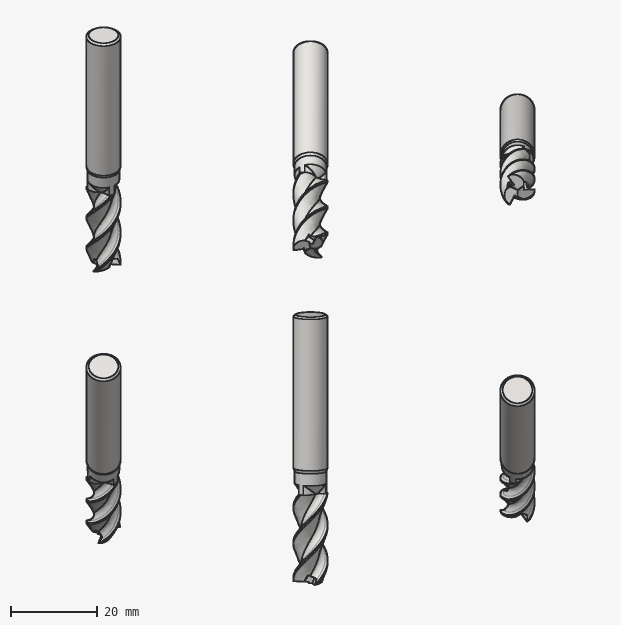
import cadquery as cq
import math

total_length = 63.0
tool_diameter = 8.0
tool_radius = tool_diameter / 2

top_chamfer_width = 0.55
top_chamfer_height = 0.45
shank_bottom = 26.9
neck_top = 26.15
neck_radius = 3.7
runout_top = 23.3
head_top = 21.05

tooth_count = 3
tooth_spacing = 360 / tooth_count
helix_lead = 25.2
tip_cutting_edge_angle = 62.5

land_angle = 9
back_radius = 3.0
back_angle = 42
core_radius = 2.2
core_angle = 77
hook_radius = 2.45
hook_angle = 99
rake_radius = 3.35
rake_angle = 112.5

end_relief_slope = 12
cut_margin = 0.6
gash_width = 1.9
gash_height = 3.8
gash_inner_radius = 1.5
gash_rise = 1.4
gash_tilt = 25


def polar(radius, angle):
    """Point at a radius and an angle in degrees."""
    turn = math.radians(angle)
    return (radius * math.cos(turn), radius * math.sin(turn))


def twist_over(height):
    """Rotation of the flutes over an axial height."""
    return 360 * height / helix_lead


def fluted_section(height):
    """Closed cross section of the flutes at an axial height."""
    first_angle = tip_cutting_edge_angle + twist_over(height)
    outline = cq.Workplane("XY").workplane(offset=height).moveTo(*polar(tool_radius, first_angle))
    for tooth in range(tooth_count):
        edge = first_angle + tooth * tooth_spacing
        outline = (
            outline
            .threePointArc(polar(tool_radius, edge + land_angle / 2), polar(tool_radius, edge + land_angle))
            .threePointArc(polar(back_radius, edge + back_angle), polar(core_radius, edge + core_angle))
            .threePointArc(polar(hook_radius, edge + hook_angle), polar(rake_radius, edge + rake_angle))
            .lineTo(*polar(tool_radius, edge + tooth_spacing))
        )
    return outline.close()


def make_shank():
    """Chamfered shank and neck, with the flutes running out in the neck."""
    body = (
        cq.Workplane("XZ")
        .moveTo(0, runout_top)
        .lineTo(neck_radius, runout_top)
        .lineTo(neck_radius, neck_top)
        .lineTo(tool_radius, shank_bottom)
        .lineTo(tool_radius, total_length - top_chamfer_height)
        .lineTo(tool_radius - top_chamfer_width, total_length)
        .lineTo(0, total_length)
        .close()
        .revolve(360, (0, 0, 0), (0, 1, 0))
    )
    runout_cone = (
        cq.Workplane("XZ")
        .moveTo(0, head_top)
        .lineTo(core_radius, head_top)
        .lineTo(neck_radius, runout_top)
        .lineTo(0, runout_top)
        .close()
        .revolve(360, (0, 0, 0), (0, 1, 0))
    )
    runout_length = runout_top - head_top
    neck_envelope = cq.Workplane("XY").workplane(offset=head_top).circle(neck_radius).extrude(runout_length)
    neck_teeth = fluted_section(head_top).extrude(runout_length).intersect(neck_envelope)
    return body.union(runout_cone).union(neck_teeth)


def end_relief_cutter():
    """Wedge that lifts the end face behind a cutting edge lying along +X."""
    rise = tool_diameter * math.tan(math.radians(end_relief_slope))
    return (
        cq.Workplane("YZ")
        .polyline([(0, 0), (tool_diameter, rise), (tool_diameter, -cut_margin), (0, -cut_margin)])
        .close()
        .extrude(tool_diameter)
    )


def gash_cutter():
    """Tilted notch in front of a cutting edge lying along +X."""
    return (
        cq.Workplane("XY")
        .box(tool_radius, gash_width, gash_height, centered=(False, False, False))
        .translate((gash_inner_radius, -gash_width, gash_rise - gash_height))
        .rotate((0, 0, 0), (1, 0, 0), -gash_tilt)
    )


def make_cutting_head():
    """Three-flute head with relieved and gashed end teeth."""
    head = fluted_section(0).twistExtrude(head_top, twist_over(head_top))
    for tooth in range(tooth_count):
        edge = tip_cutting_edge_angle + tooth * tooth_spacing
        for cutter in (end_relief_cutter(), gash_cutter()):
            head = head.cut(cutter.rotate((0, 0, 0), (0, 0, 1), edge))
    return head


shank = make_shank()
cutting_head = make_cutting_head()
result = cq.Compound.makeCompound([*shank.solids().vals(), *cutting_head.solids().vals()])